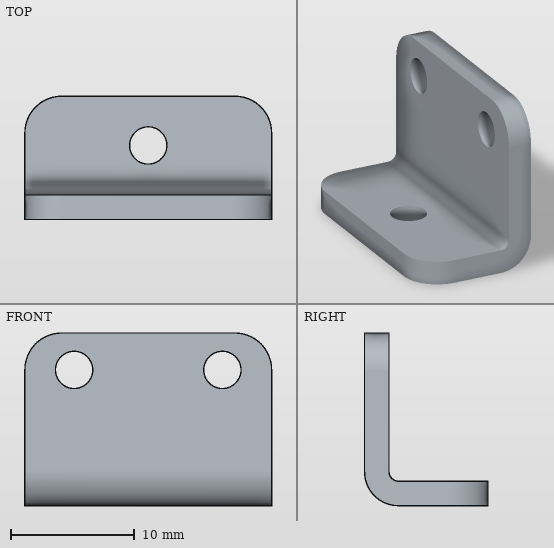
import cadquery as cq

width = 20.0
depth = 10.0
height = 14.0

thickness = 2.0
inner_bend_radius = 0.75
outer_bend_radius = inner_bend_radius + thickness

corner_radius = 3.0
hole_diameter = 3.0
wall_hole_spacing = 12.0
wall_hole_from_top = 3.0
base_hole_from_back = 4.0


def bent_plate():
    """L-shaped plate: upright wall at the front (Y = 0), base at Z = 0, centred on X."""
    profile = (
        cq.Workplane("YZ")
        .moveTo(outer_bend_radius, 0)
        .lineTo(depth, 0)
        .lineTo(depth, thickness)
        .lineTo(outer_bend_radius, thickness)
        .radiusArc((thickness, outer_bend_radius), inner_bend_radius)
        .lineTo(thickness, height)
        .lineTo(0, height)
        .lineTo(0, outer_bend_radius)
        .radiusArc((outer_bend_radius, 0), -outer_bend_radius)
        .close()
    )
    return profile.extrude(width / 2, both=True)


def round_free_corners(plate):
    """Round the two top corners of the wall and the two back corners of the base."""
    plate = plate.faces(">Z").edges("|Y").fillet(corner_radius)
    return plate.faces(">Y").edges("|Z").fillet(corner_radius)


def wall_holes():
    """Pair of cutters running along Y through the upright wall."""
    hole_z = height - wall_hole_from_top
    centers = [(side * wall_hole_spacing / 2, hole_z) for side in (-1, 1)]
    return cq.Workplane("XZ").pushPoints(centers).circle(hole_diameter / 2).extrude(-thickness)


def base_hole():
    """Single cutter running along Z through the base, centred on the width."""
    center_y = depth - base_hole_from_back
    return cq.Workplane("XY").center(0, center_y).circle(hole_diameter / 2).extrude(thickness)


result = round_free_corners(bent_plate()).cut(wall_holes()).cut(base_hole())